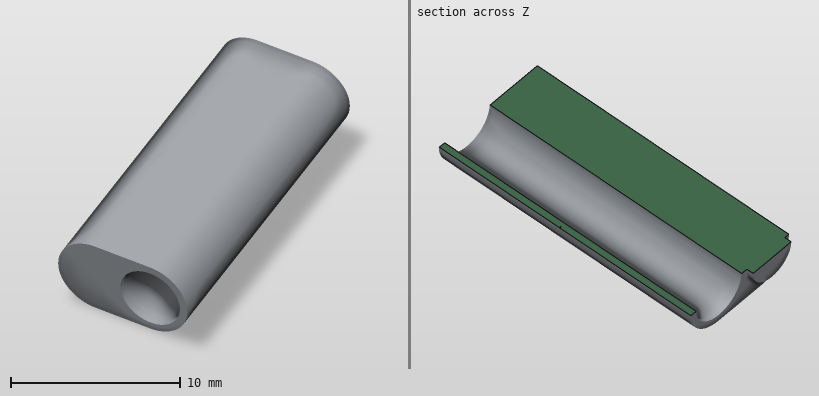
import cadquery as cq

body_length = 20.0
body_height = 5.0
center_spacing = 3.7
body_width = center_spacing + body_height

bore_diameter = 4.0
bore_x = center_spacing / 2

boss_diameter = 3.4
boss_height = 0.5
boss_edge_gap = 0.35
boss_x = -body_width / 2 + boss_edge_gap + boss_diameter / 2


def end_plane(y):
    """Sketch plane at the given Y: local x is +X, local y is +Z, extrusion runs toward -Y."""
    return cq.Workplane("XZ", origin=(0, y, 0))


def make_body():
    return end_plane(body_length).slot2D(body_width, body_height).extrude(body_length)


def make_bore():
    return end_plane(body_length).center(bore_x, 0).circle(bore_diameter / 2).extrude(body_length)


def make_boss():
    boss_top = body_length + boss_height
    return end_plane(boss_top).center(boss_x, 0).circle(boss_diameter / 2).extrude(boss_height)


result = make_body().cut(make_bore()).union(make_boss())